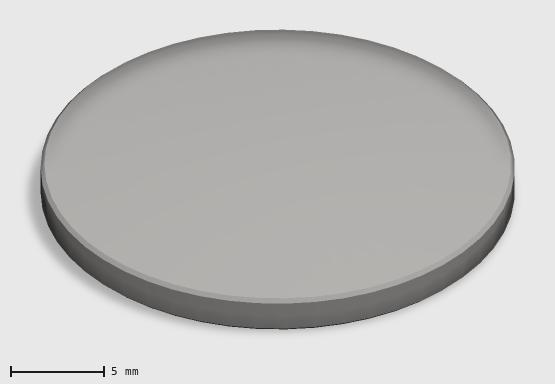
import cadquery as cq

diameter = 25.4
center_thickness = 2.75
dome_height = 0.7
bevel = 0.2

radius = diameter / 2
face_radius = radius - bevel
dome_edge_z = center_thickness - dome_height

dome_radius = (face_radius**2 + dome_height**2) / (2 * dome_height)

mid_x = face_radius / 2
mid_z = center_thickness - dome_radius + (dome_radius**2 - mid_x**2) ** 0.5

half_section = (
    cq.Workplane("XZ")
    .moveTo(0, 0)
    .lineTo(face_radius, 0)
    .lineTo(radius, bevel)
    .lineTo(radius, dome_edge_z - bevel)
    .lineTo(face_radius, dome_edge_z)
    .threePointArc((mid_x, mid_z), (0, center_thickness))
    .close()
)

result = half_section.revolve(360, (0, 0, 0), (0, 1, 0))